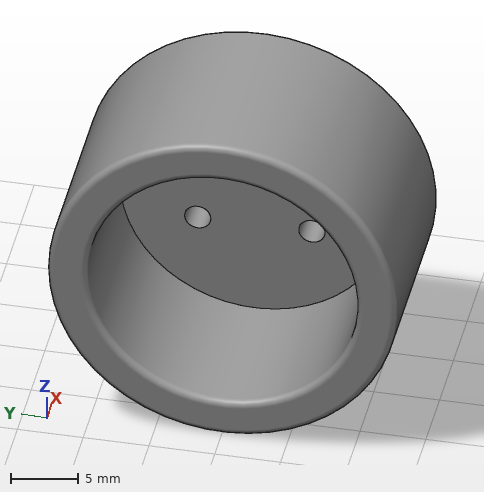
import cadquery as cq

outer_diameter = 26.5
length = 15.0
bore_diameter = 20.5
floor_thickness = 3.0
edge_radius = 0.5

hole_diameter = 2.0
hole_circle_radius = 5.0
hole_count = 3
first_hole_angle = 90.0

bore_depth = length - floor_thickness


def cylinder_along_x(diameter, start, height):
    return cq.Workplane("YZ", origin=(start, 0, 0)).circle(diameter / 2).extrude(height)


def make_cup():
    body = cylinder_along_x(outer_diameter, 0, length)
    body = body.faces("<X or >X").edges().fillet(edge_radius)
    cup = body.cut(cylinder_along_x(bore_diameter, 0, bore_depth))
    return cup.faces("<X").edges(cq.selectors.RadiusNthSelector(0)).fillet(edge_radius)


def make_floor_holes():
    return (
        cq.Workplane("YZ", origin=(bore_depth, 0, 0))
        .polarArray(hole_circle_radius, first_hole_angle, 360, hole_count)
        .circle(hole_diameter / 2)
        .extrude(floor_thickness)
    )


result = make_cup().cut(make_floor_holes())